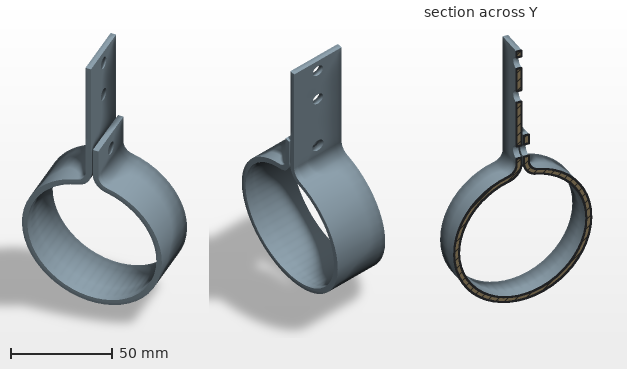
import cadquery as cq
import math

strip_thickness = 3.0
strip_width = 30.0
ring_outer_radius = 38.0
tab_gap = 1.0
bend_inside_radius = 6.0
long_tab_top = 110.0
short_tab_top = 59.0

fixing_hole_diameter = 6.5
clamp_hole_diameter = 7.0
fixing_hole_drop = 7.0
fixing_hole_pitch = 20.0
clamp_hole_height = 50.0

ring_inner_radius = ring_outer_radius - strip_thickness
bend_outside_radius = bend_inside_radius + strip_thickness
tab_inner_x = tab_gap / 2
tab_outer_x = tab_inner_x + strip_thickness

bend_centre_distance = ring_outer_radius + bend_inside_radius
bend_centre_x = tab_outer_x + bend_inside_radius
bend_centre_z = math.sqrt(bend_centre_distance**2 - bend_centre_x**2)
bend_centre_angle = math.atan2(bend_centre_z, bend_centre_x)


def ring_tangent_point(radius, side):
    """Point where a ring face of the given radius runs into the bend; side is -1 or +1 in X."""
    return (side * radius * math.cos(bend_centre_angle), radius * math.sin(bend_centre_angle))


def bend_midpoint(radius, side):
    """Middle of a bend arc, halfway between its ring and tab tangent points."""
    angle = math.pi + bend_centre_angle / 2
    x = bend_centre_x + radius * math.cos(angle)
    z = bend_centre_z + radius * math.sin(angle)
    return (side * x, z)


def make_strap():
    """Closed strip outline in the XZ plane, extruded symmetrically along Y."""
    left, right = -1, 1
    outline = (
        cq.Workplane("XZ")
        .moveTo(left * tab_outer_x, long_tab_top)
        .lineTo(left * tab_outer_x, bend_centre_z)
        .threePointArc(
            bend_midpoint(bend_inside_radius, left),
            ring_tangent_point(ring_outer_radius, left),
        )
        .threePointArc((0, -ring_outer_radius), ring_tangent_point(ring_outer_radius, right))
        .threePointArc(
            bend_midpoint(bend_inside_radius, right),
            (right * tab_outer_x, bend_centre_z),
        )
        .lineTo(right * tab_outer_x, short_tab_top)
        .lineTo(right * tab_inner_x, short_tab_top)
        .lineTo(right * tab_inner_x, bend_centre_z)
        .threePointArc(
            bend_midpoint(bend_outside_radius, right),
            ring_tangent_point(ring_inner_radius, right),
        )
        .threePointArc((0, -ring_inner_radius), ring_tangent_point(ring_inner_radius, left))
        .threePointArc(
            bend_midpoint(bend_outside_radius, left),
            (left * tab_inner_x, bend_centre_z),
        )
        .lineTo(left * tab_inner_x, long_tab_top)
        .close()
    )
    return outline.extrude(strip_width / 2, both=True)


def tab_hole(diameter, height):
    """Cutter along X that passes through every tab present at the given height."""
    return (
        cq.Workplane("YZ")
        .center(0, height)
        .circle(diameter / 2)
        .extrude(2 * tab_outer_x, both=True)
    )


result = make_strap()

upper_hole_height = long_tab_top - fixing_hole_drop
for height in (upper_hole_height, upper_hole_height - fixing_hole_pitch):
    result = result.cut(tab_hole(fixing_hole_diameter, height))

result = result.cut(tab_hole(clamp_hole_diameter, clamp_hole_height))